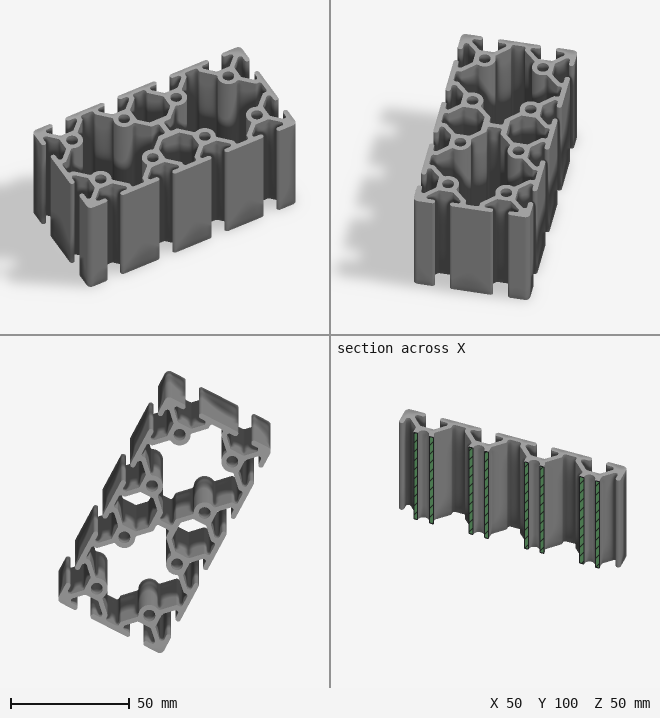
import cadquery as cq
import math

cell = 25.0
columns = 2
rows = 4
length = 50.0
width = columns * cell
depth = rows * cell
half_cell = cell / 2

lip_thickness = 2.2
web_thickness = 2.0
rib_thickness = 2.2
core_half = 4.5
boss_radius = 4.6
hole_diameter = 5.0

mouth_width = 6.5
mouth_half = mouth_width / 2
slot_half = 7.3
pocket_half = 3.0
upright_outer_x = 5.5

corner_radius = 2.0
lip_radius = lip_thickness / 2
inner_radius = 1.0

web_shift = web_thickness / 2 * math.sqrt(2)
core_flat_half = core_half - web_shift
web_end = half_cell - pocket_half - web_shift


def prism(points):
    return cq.Workplane("XY").polyline(points).close().extrude(length)


def round_edges(body, points, radius):
    """Fillet the upright edges that stand on the given points."""
    edges = [body.edges(cq.selectors.NearestToPointSelector((x, y, length / 2))).val() for x, y in points]
    return body.newObject(edges).fillet(radius)


def with_mirror_x(points):
    return points + [(-x, y) for x, y in reversed(points)]


def with_mirror_y(points):
    return points + [(x, -y) for x, y in reversed(points)]


def cell_centres(count):
    return [(i - (count - 1) / 2) * cell for i in range(count)]


def slot_cutter():
    """T-slot that opens at y = 0 and reaches into +Y, centred on x = 0, between fully rounded lips."""
    lip_x = mouth_half + lip_radius
    undercut = [(slot_half, lip_thickness), (slot_half, half_cell - slot_half - web_shift)]
    floor = [(core_flat_half, half_cell - core_half)]
    outline = (
        cq.Workplane("XY")
        .moveTo(-lip_x, 0)
        .lineTo(lip_x, 0)
        .threePointArc((mouth_half, lip_radius), (lip_x, lip_thickness))
        .polyline(with_mirror_x(undercut + floor), includeCurrent=True)
        .lineTo(-lip_x, lip_thickness)
        .threePointArc((-mouth_half, lip_radius), (-lip_x, 0))
        .close()
    )
    return round_edges(outline.extrude(length), with_mirror_x(undercut + floor), inner_radius)


def end_cavity():
    """Cavity shared by the four cells at the +Y end, with the channel bosses left standing in it."""
    centre_y = cell
    side_wall_x = width / 2 - lip_thickness
    end_corner = (pocket_half, depth / 2 - lip_thickness)
    rib_corner = (pocket_half, rib_thickness / 2)
    side_corners = [(side_wall_x, centre_y - pocket_half), (side_wall_x, centre_y + pocket_half)]
    lower_webs = [
        (pocket_half, centre_y - half_cell - web_end),
        (half_cell + web_end, centre_y - pocket_half),
    ]
    upper_webs = [
        (half_cell + web_end, centre_y + pocket_half),
        (pocket_half, centre_y + half_cell + web_end),
    ]
    corners = with_mirror_x([rib_corner] + lower_webs + side_corners + upper_webs + [end_corner])
    cavity = round_edges(prism(corners), corners, inner_radius)

    along_web = math.sqrt(boss_radius**2 - (web_thickness / 2) ** 2)
    near = (along_web - web_thickness / 2) / math.sqrt(2)
    far = (along_web + web_thickness / 2) / math.sqrt(2)
    boss_centres = []
    joints = []
    for side_x in (-1, 1):
        for side_y in (-1, 1):
            x = side_x * half_cell
            y = centre_y + side_y * half_cell
            boss_centres.append((x, y))
            joints.append((x + side_x * near, y - side_y * far))
            joints.append((x - side_x * far, y + side_y * near))
    cavity = cavity.cut(cq.Workplane("XY").pushPoints(boss_centres).circle(boss_radius).extrude(length))
    return round_edges(cavity, joints, inner_radius)


def middle_cavity():
    """Cavity on the +X side between the two middle channels."""
    upper_half = [
        (upright_outer_x, upright_outer_x - web_shift),
        (half_cell - core_flat_half, half_cell - core_half),
        (half_cell + core_flat_half, half_cell - core_half),
        (half_cell + web_end, pocket_half),
        (width / 2 - lip_thickness, pocket_half),
    ]
    corners = with_mirror_y(upper_half)
    return round_edges(prism(corners), corners, inner_radius)


result = cq.Workplane("XY").rect(width, depth).extrude(length).edges("|Z").fillet(corner_radius)

slot = slot_cutter()
for count, reach, turn in [(columns, depth / 2, 0), (rows, width / 2, 90)]:
    for along in cell_centres(count):
        placed = slot.translate((along, -reach, 0))
        for angle in (turn, turn + 180):
            result = result.cut(placed.rotate((0, 0, 0), (0, 0, 1), angle))

for cavity, mirror_plane in [(end_cavity(), "XZ"), (middle_cavity(), "YZ")]:
    result = result.cut(cavity).cut(cavity.mirror(mirror_plane))

channels = [(x, y) for x in cell_centres(columns) for y in cell_centres(rows)]
result = result.cut(cq.Workplane("XY").pushPoints(channels).circle(hole_diameter / 2).extrude(length))